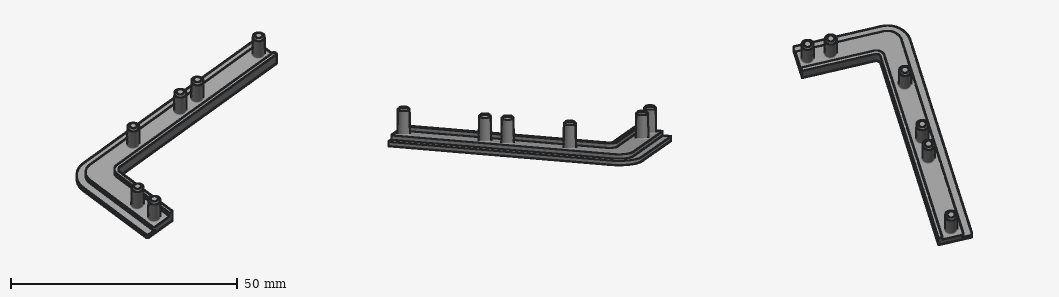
import cadquery as cq
import math

LENGTH_X = 25.5
LENGTH_Y = 57.5
ARM_WIDTH = 7.8

LAYER_HEIGHT = 1.0
STEP_SETBACK = 2.0
RIM_WIDTH = 0.9
STEP_TOP = 2 * LAYER_HEIGHT

OUTER_BEND_RADIUS = 5.3
INNER_BEND_RADIUS = 1.0
END_CORNER_RADIUS = 0.4

PIN_TOP = 8.0
PIN_FOOT_DIAMETER = 2.8
PIN_TIP_DIAMETER = 2.65
PIN_TIP_CHAMFER = 0.5
PIN_FOOT_FILLET = 0.25
PIN_LINE = 4.3
PIN_END_DISTANCE = 2.2
PIN_PAIR_SPACING = 5.3
SINGLE_PIN_Y = 16.45
PAIR_PIN_Y = 31.0

LAST_PIN_X = LENGTH_X - PIN_END_DISTANCE
LAST_PIN_Y = LENGTH_Y - PIN_END_DISTANCE
PIN_POSITIONS = [
    (LAST_PIN_X, PIN_LINE),
    (LAST_PIN_X - PIN_PAIR_SPACING, PIN_LINE),
    (PIN_LINE, SINGLE_PIN_Y),
    (PIN_LINE, PAIR_PIN_Y),
    (PIN_LINE, PAIR_PIN_Y + PIN_PAIR_SPACING),
    (PIN_LINE, LAST_PIN_Y),
]


def bent_strip(outer, inner, outer_radius, inner_radius, bottom):
    """One layer of the L, between two offsets from the outer edges of the arms."""
    sharp = (
        cq.Workplane("XY", origin=(0, 0, bottom))
        .moveTo(outer, outer)
        .lineTo(LENGTH_X, outer)
        .lineTo(LENGTH_X, inner)
        .lineTo(inner, inner)
        .lineTo(inner, LENGTH_Y)
        .lineTo(outer, LENGTH_Y)
        .close()
        .extrude(LAYER_HEIGHT)
    )
    middle = bottom + LAYER_HEIGHT / 2
    outer_bend = cq.selectors.NearestToPointSelector((outer, outer, middle))
    inner_bend = cq.selectors.NearestToPointSelector((inner, inner, middle))
    rounded = sharp.edges(outer_bend).fillet(outer_radius)
    return rounded.edges(inner_bend).fillet(inner_radius)


def round_end_corners(layer, outer, bottom):
    """Round the outer corner at the free end of both arms."""
    middle = bottom + LAYER_HEIGHT / 2
    for x, y in [(LENGTH_X, outer), (outer, LENGTH_Y)]:
        corner = cq.selectors.NearestToPointSelector((x, y, middle))
        layer = layer.edges(corner).fillet(END_CORNER_RADIUS)
    return layer


def make_base():
    base = bent_strip(0, ARM_WIDTH, OUTER_BEND_RADIUS, INNER_BEND_RADIUS, 0)
    return round_end_corners(base, 0, 0)


def make_step():
    step_radius = OUTER_BEND_RADIUS - STEP_SETBACK
    step = bent_strip(STEP_SETBACK, ARM_WIDTH, step_radius, INNER_BEND_RADIUS, LAYER_HEIGHT)
    return round_end_corners(step, STEP_SETBACK, LAYER_HEIGHT)


def make_rim():
    rim_start = ARM_WIDTH - RIM_WIDTH
    rim_radius = INNER_BEND_RADIUS + RIM_WIDTH
    return bent_strip(rim_start, ARM_WIDTH, rim_radius, INNER_BEND_RADIUS, STEP_TOP)


def make_pin():
    """Tapered pin turned about Z, with a flared foot and a chamfered tip."""
    radius = PIN_FOOT_DIAMETER / 2
    tip_radius = PIN_TIP_DIAMETER / 2
    foot_radius = radius + PIN_FOOT_FILLET
    diagonal = PIN_FOOT_FILLET * math.sqrt(0.5)
    foot_arc_middle = (foot_radius - diagonal, STEP_TOP + PIN_FOOT_FILLET - diagonal)
    return (
        cq.Workplane("XZ")
        .moveTo(0, LAYER_HEIGHT)
        .lineTo(foot_radius, LAYER_HEIGHT)
        .lineTo(foot_radius, STEP_TOP)
        .threePointArc(foot_arc_middle, (radius, STEP_TOP + PIN_FOOT_FILLET))
        .lineTo(tip_radius, PIN_TOP - PIN_TIP_CHAMFER)
        .lineTo(tip_radius - PIN_TIP_CHAMFER, PIN_TOP)
        .lineTo(0, PIN_TOP)
        .close()
        .revolve(360, (0, 0, 0), (0, 1, 0))
    )


result = make_base().union(make_step()).union(make_rim())
pin = make_pin()
for pin_x, pin_y in PIN_POSITIONS:
    result = result.union(pin.translate((pin_x, pin_y, 0)))